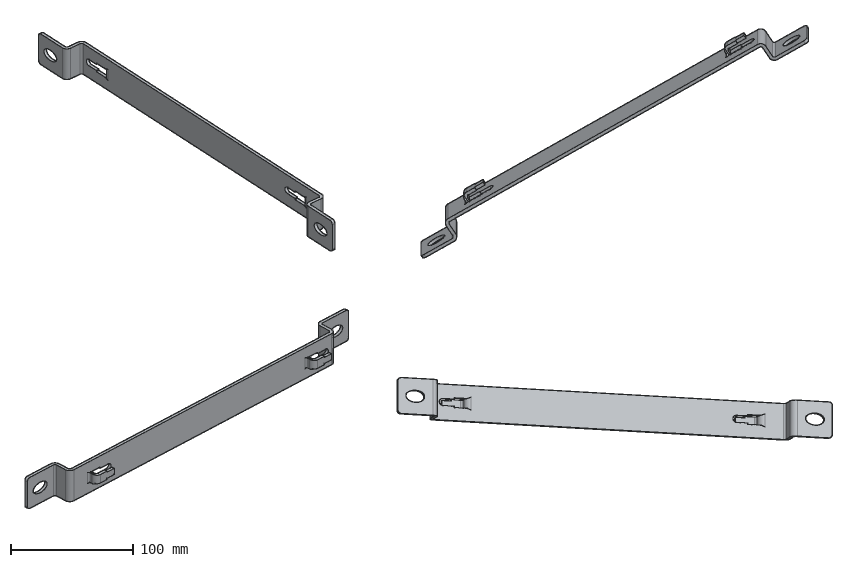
import cadquery as cq

length = 370.0
height = 30.0
thickness = 3.0
inner_radius = 2.0
outer_radius = inner_radius + thickness
corner_radius = 3.0

web_outer_x = 32.0
panel_back = 20.0
panel_front = panel_back - thickness

mount_hole_x = 14.8
mount_hole_length = 16.0
mount_hole_height = 10.0

first_window_start = 40.5
hook_spacing = 250.0
hook_back = 28.0
window_length = 27.0
nose_width = 6.0
shank_width = 8.0
root_width = 10.7
tip_offset = 4.5
shoulder_offset = 12.5
flare_length = 3.5


def bent_strip():
    """Hat-shaped strip with rounded bends, symmetric about X = 0."""
    half = length / 2
    outer = half - web_outer_x
    inner = outer - thickness
    points = [
        (-half, 0),
        (-inner, 0),
        (-inner, panel_front),
        (inner, panel_front),
        (inner, 0),
        (half, 0),
        (half, thickness),
        (outer, thickness),
        (outer, panel_back),
        (-outer, panel_back),
        (-outer, thickness),
        (-half, thickness),
    ]
    strip = cq.Workplane("XY").polyline(points).close().extrude(height / 2, both=True)

    def round_bends(body, places, radius):
        for x, y in places:
            body = body.edges(cq.selectors.NearestToPointSelector((x, y, 0))).fillet(radius)
        return body

    for side in (-1, 1):
        convex = [(side * inner, 0), (side * outer, panel_back)]
        concave = [(side * inner, panel_front), (side * outer, thickness)]
        strip = round_bends(strip, convex, outer_radius)
        strip = round_bends(strip, concave, inner_radius)

    blank = (
        cq.Workplane("XZ")
        .rect(length, height)
        .extrude(-panel_back)
        .edges("|Y")
        .fillet(corner_radius)
    )
    return strip.intersect(blank)


def mount_holes():
    centre = length / 2 - mount_hole_x
    return (
        cq.Workplane("XZ")
        .pushPoints([(-centre, 0), (centre, 0)])
        .ellipse(mount_hole_length / 2, mount_hole_height / 2)
        .extrude(-thickness)
    )


def lance_outline(start):
    """Stepped window with a round nose and a flared root, through the whole depth."""
    nose = nose_width / 2
    shank = shank_width / 2
    root = root_width / 2
    shoulder = start + shoulder_offset
    end = start + window_length
    flare = end - flare_length
    return (
        cq.Workplane("XZ")
        .moveTo(start + nose, -nose)
        .threePointArc((start, 0), (start + nose, nose))
        .lineTo(shoulder, nose)
        .lineTo(shoulder, shank)
        .lineTo(flare, shank)
        .lineTo(end, root)
        .lineTo(end, -root)
        .lineTo(flare, -shank)
        .lineTo(shoulder, -shank)
        .lineTo(shoulder, -nose)
        .close()
        .extrude(-hook_back)
    )


def hook(start):
    """Tab that bends back out of the panel and then turns parallel to it."""
    root = start + window_length
    upright_right = root - inner_radius
    upright_left = root - outer_radius
    root_bend_y = panel_back + inner_radius
    top_bend_x = upright_right - outer_radius
    top_bend_y = hook_back - outer_radius
    tip = start + tip_offset
    profile = (
        cq.Workplane("XY")
        .moveTo(root, panel_front)
        .lineTo(root, panel_back)
        .radiusArc((upright_right, root_bend_y), inner_radius)
        .lineTo(upright_right, top_bend_y)
        .radiusArc((top_bend_x, hook_back), -outer_radius)
        .lineTo(tip, hook_back)
        .lineTo(tip, hook_back - thickness)
        .lineTo(top_bend_x, hook_back - thickness)
        .radiusArc((upright_left, top_bend_y), inner_radius)
        .lineTo(upright_left, root_bend_y)
        .radiusArc((root, panel_front), -outer_radius)
        .close()
        .extrude(root_width / 2, both=True)
    )
    return profile.intersect(lance_outline(start))


result = bent_strip().cut(mount_holes())
for index in range(2):
    window_start = first_window_start - length / 2 + index * hook_spacing
    result = result.cut(lance_outline(window_start)).union(hook(window_start))